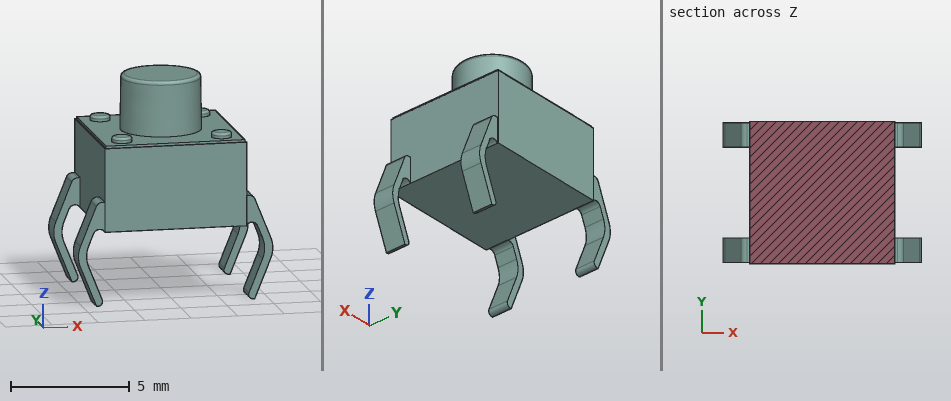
import cadquery as cq
import math

BODY_X = 6.1
BODY_Y = 5.99
BODY_HEIGHT = 3.6

PLATE_X = 5.98
PLATE_Y = 5.84
PLATE_THICKNESS = 0.1

PEG_DIAMETER = 0.85
PEG_HEIGHT = 0.23
PEG_SPACING = 4.29
PEG_FILLET = 0.11

BUTTON_BASE_DIAMETER = 3.44
BUTTON_TOP_DIAMETER = 3.37
BUTTON_TOP_Z = 6.07
BUTTON_FILLET = 0.15

LEG_SPAN = 8.37
LEG_WIDTH = 1.04
LEG_OUTER_SPACING = 5.89
LEG_THICKNESS = 0.33
LEG_ANGLE = math.radians(22)
LEG_TOP_Z = 1.295
LEG_BEND_Z = -1.01
LEG_TIP_Z = -3.18
BEND_RADIUS = 1.2
SHOULDER_RADIUS = 0.28
NOTCH_START_Z = -0.04
TIP_RADIUS = 0.2

PLATE_TOP_Z = BODY_HEIGHT + PLATE_THICKNESS


def make_body():
    body = cq.Workplane("XY").box(BODY_X, BODY_Y, BODY_HEIGHT, centered=(True, True, False))
    plate = (
        cq.Workplane("XY")
        .workplane(offset=BODY_HEIGHT)
        .box(PLATE_X, PLATE_Y, PLATE_THICKNESS, centered=(True, True, False))
    )
    return body.union(plate)


def make_button():
    button_height = BUTTON_TOP_Z - PLATE_TOP_Z
    return (
        cq.Workplane("XY")
        .workplane(offset=PLATE_TOP_Z)
        .circle(BUTTON_BASE_DIAMETER / 2)
        .workplane(offset=button_height)
        .circle(BUTTON_TOP_DIAMETER / 2)
        .loft(ruled=True)
        .faces(">Z")
        .edges()
        .fillet(BUTTON_FILLET)
    )


def make_pegs():
    return (
        cq.Workplane("XY")
        .workplane(offset=PLATE_TOP_Z)
        .rect(PEG_SPACING, PEG_SPACING, forConstruction=True)
        .vertices()
        .circle(PEG_DIAMETER / 2)
        .extrude(PEG_HEIGHT)
        .faces(">Z")
        .edges()
        .fillet(PEG_FILLET)
    )


def round_corner(solid, corner, radius):
    """Fillet the Y-parallel edge of the leg that passes through the (x, z) corner."""
    x, z = corner
    edge = solid.edges("|Y").edges(cq.NearestToPointSelector((x, LEG_WIDTH / 2, z)))
    return solid.newObject(edge.vals()).fillet(radius)


def make_leg():
    """Leg on the -X side, spanning Y = 0 to LEG_WIDTH."""
    slope = math.tan(LEG_ANGLE)
    side_x = -BODY_X / 2
    outer_bend_x = -LEG_SPAN / 2 - BEND_RADIUS * (1 / math.cos(LEG_ANGLE) - 1)
    inner_bend_x = outer_bend_x + LEG_THICKNESS / math.cos(LEG_ANGLE)
    tip_shift = (LEG_BEND_Z - LEG_TIP_Z) * slope

    shoulder = (outer_bend_x + (LEG_TOP_Z - LEG_BEND_Z) * slope, LEG_TOP_Z)
    outer_bend = (outer_bend_x, LEG_BEND_Z)
    outer_tip = (outer_bend_x + tip_shift, LEG_TIP_Z)
    inner_tip = (inner_bend_x + tip_shift, LEG_TIP_Z)
    inner_bend = (inner_bend_x, LEG_BEND_Z)
    notch_start = (inner_bend_x + (NOTCH_START_Z - LEG_BEND_Z) * slope, NOTCH_START_Z)

    leg = (
        cq.Workplane("XZ")
        .moveTo(side_x, LEG_TOP_Z)
        .lineTo(*shoulder)
        .lineTo(*outer_bend)
        .lineTo(*outer_tip)
        .lineTo(*inner_tip)
        .lineTo(*inner_bend)
        .lineTo(*notch_start)
        .tangentArcPoint((side_x, 0), relative=False)
        .close()
        .extrude(-LEG_WIDTH)
    )
    leg = round_corner(leg, shoulder, SHOULDER_RADIUS)
    leg = round_corner(leg, outer_bend, BEND_RADIUS)
    leg = round_corner(leg, inner_bend, BEND_RADIUS)
    return round_corner(leg, inner_tip, TIP_RADIUS)


def make_legs():
    front_left = make_leg().translate((0, -LEG_OUTER_SPACING / 2, 0))
    left_pair = front_left.union(front_left.mirror("XZ"))
    return left_pair.union(left_pair.mirror("YZ"))


result = make_body().union(make_button()).union(make_pegs()).union(make_legs())